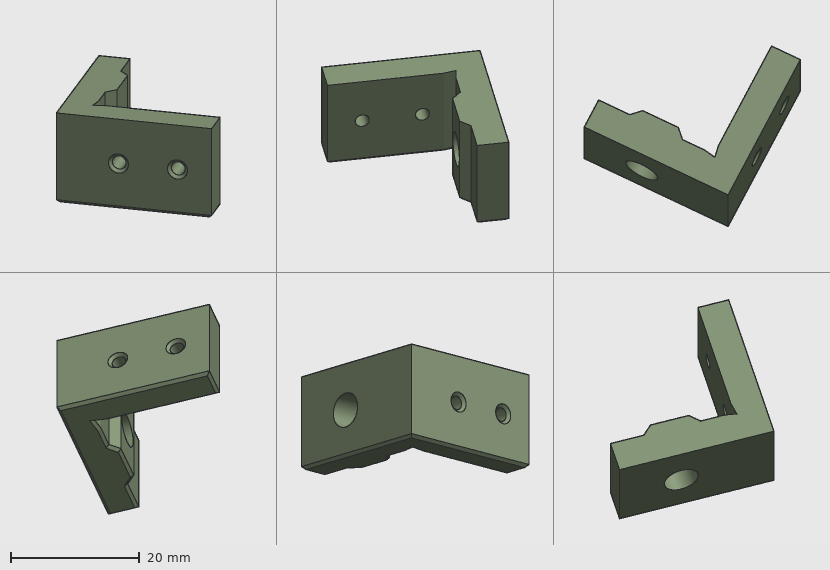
import cadquery as cq

leg_length = 25.0
leg_thickness = 5.0
height = 15.0
mid_height = height / 2
foot_chamfer = 0.5

rib_center_y = 15.0
rib_crest_width = 6.2
rib_height = 1.5
rib_base_width = rib_crest_width + 2 * rib_height

relief_depth = 0.35
relief_end = 6.6

clamp_hole_diameter = 5.5
screw_hole_diameter = 2.2
screw_hole_centers_x = (10.0, 19.5)
screw_hole_z = 7.6
countersink_diameter = 3.2
countersink_angle = 90.0


def bracket_body():
    """L-shaped profile with rib and corner relief, chamfered around its bottom."""
    corner = leg_thickness - relief_depth
    crest_x = leg_thickness + rib_height
    profile = [
        (0, 0),
        (leg_length, 0),
        (leg_length, leg_thickness),
        (relief_end, leg_thickness),
        (corner, corner),
        (leg_thickness, relief_end),
        (leg_thickness, rib_center_y - rib_base_width / 2),
        (crest_x, rib_center_y - rib_crest_width / 2),
        (crest_x, rib_center_y + rib_crest_width / 2),
        (leg_thickness, rib_center_y + rib_base_width / 2),
        (leg_thickness, leg_length),
        (0, leg_length),
    ]
    body = cq.Workplane("XY").polyline(profile).close().extrude(height)
    return body.faces("<Z").chamfer(foot_chamfer)


def clamp_hole():
    """Cylinder along X through the Y leg and its rib."""
    length = leg_thickness + rib_height
    return (
        cq.Workplane("YZ")
        .center(rib_center_y, mid_height)
        .circle(clamp_hole_diameter / 2)
        .extrude(length)
    )


def add_screw_holes(body):
    """Countersunk holes through the X leg, entered from its outer face."""
    centers = [(x, screw_hole_z) for x in screw_hole_centers_x]
    return (
        body.faces("<Y")
        .workplane(origin=(0, 0, 0))
        .pushPoints(centers)
        .cskHole(screw_hole_diameter, countersink_diameter, countersink_angle, depth=leg_thickness)
    )


result = add_screw_holes(bracket_body().cut(clamp_hole()))